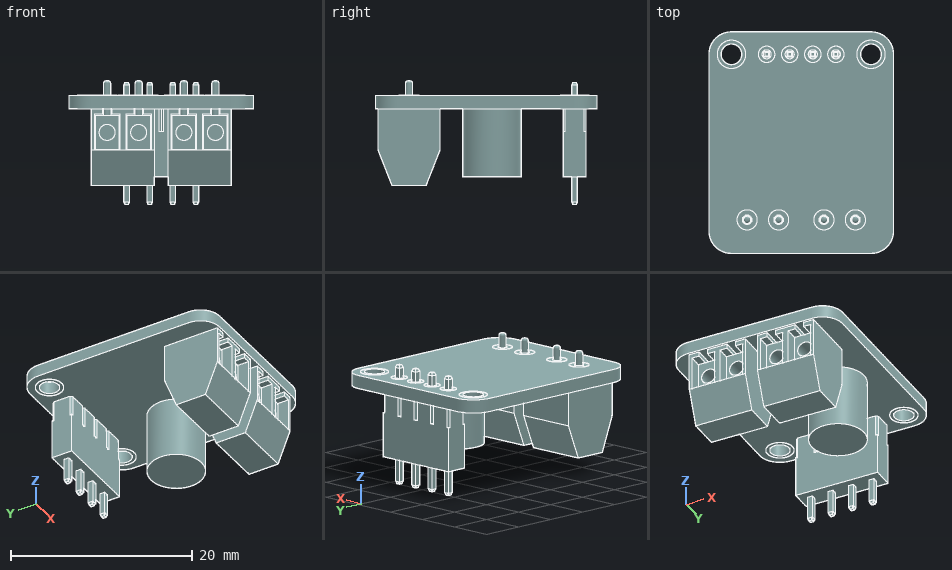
import cadquery as cq
import math


BOARD_WIDTH = 20.4
BOARD_LENGTH = 24.5
BOARD_THICKNESS = 1.5
CORNER_RADIUS = 2.5
EDGE_MARGIN = 2.5
MOUNT_HOLE_DIAMETER = 2.25
MOUNT_PAD_DIAMETER = 3.14
PIN_HOLE_DIAMETER = 1.0
HEADER_PAD_DIAMETER = 1.81
TERMINAL_PAD_DIAMETER = 2.23
PAD_THICKNESS = 0.035

PIN_COUNT = 4
PIN_PITCH = 2.55
HEADER_DEPTH = 2.55
HEADER_HEIGHT = 7.5
GROOVED_HEIGHT = 2.5
SECTION_CHAMFER = 0.25
HEADER_PIN_SIDE = 0.64
HEADER_PIN_TOP = BOARD_THICKNESS + 1.45
HEADER_PIN_BOTTOM = -10.55
PIN_TIP_HEIGHT = 0.3
PIN_TIP_INSET = 0.12

CYLINDER_DIAMETER = 6.5
CYLINDER_HEIGHT = 7.5
CYLINDER_Y = 0.64

TERMINAL_WIDTH = 6.98
TERMINAL_DEPTH = 6.85
TERMINAL_BOTTOM_DEPTH = 3.77
TERMINAL_HEIGHT = 8.48
TERMINAL_STRAIGHT_HEIGHT = 4.55
TERMINAL_GAP = 1.5
TERMINAL_Y = -8.53
CONTACT_PITCH = 3.48
CONTACT_WIDTH = 2.57
CONTACT_TOP = -0.7
CONTACT_BOTTOM = -4.48
CONTACT_SETBACK = 1.27
CAVITY_WIDTH = 2.8
CAVITY_TOP = -0.55
SLOT_WIDTH = 1.05
WIRE_HOLE_DIAMETER = 1.76
ROUND_PIN_DIAMETER = 0.8
ROUND_PIN_TOP = BOARD_THICKNESS + 1.62
ROUND_PIN_FILLET = 0.3

BACK_ROW_Y = BOARD_LENGTH / 2 - EDGE_MARGIN
MOUNT_HOLE_X = BOARD_WIDTH / 2 - EDGE_MARGIN
TERMINAL_X = (TERMINAL_GAP + TERMINAL_WIDTH) / 2
TERMINAL_CENTRES = [-TERMINAL_X, TERMINAL_X]
CONTACT_OFFSETS = [-CONTACT_PITCH / 2, CONTACT_PITCH / 2]
TERMINAL_FRONT_Y = TERMINAL_Y - TERMINAL_DEPTH / 2
CAVITY_BACK_Y = TERMINAL_Y + SLOT_WIDTH / 2

MOUNT_POINTS = [(-MOUNT_HOLE_X, BACK_ROW_Y), (MOUNT_HOLE_X, BACK_ROW_Y)]
HEADER_PIN_XS = [(i - (PIN_COUNT - 1) / 2) * PIN_PITCH for i in range(PIN_COUNT)]
HEADER_POINTS = [(x, BACK_ROW_Y) for x in HEADER_PIN_XS]
TERMINAL_POINTS = [(x + dx, TERMINAL_Y) for x in TERMINAL_CENTRES for dx in CONTACT_OFFSETS]


def block(x_centre, width, y_front, y_back, z_bottom, z_top):
    """A box centred on x_centre that spans the given Y and Z ranges."""
    return (
        cq.Workplane("XY")
        .box(width, y_back - y_front, z_top - z_bottom, centered=(True, False, False))
        .translate((x_centre, y_front, z_bottom))
    )


def discs(points, diameter, z_bottom, height):
    """Upright cylinders of one size at the given points."""
    return (
        cq.Workplane("XY").workplane(offset=z_bottom)
        .pushPoints(points).circle(diameter / 2).extrude(height)
    )


def make_board():
    """Rounded plate with thin raised pads, mounting holes and pin holes."""
    board = (
        cq.Workplane("XY")
        .rect(BOARD_WIDTH, BOARD_LENGTH).extrude(BOARD_THICKNESS)
        .edges("|Z").fillet(CORNER_RADIUS)
    )
    top_pads = [
        (MOUNT_POINTS, MOUNT_PAD_DIAMETER),
        (HEADER_POINTS, HEADER_PAD_DIAMETER),
        (TERMINAL_POINTS, TERMINAL_PAD_DIAMETER),
    ]
    for points, diameter in top_pads:
        board = board.union(discs(points, diameter, BOARD_THICKNESS, PAD_THICKNESS))
    board = board.union(discs(MOUNT_POINTS, MOUNT_PAD_DIAMETER, -PAD_THICKNESS, PAD_THICKNESS))

    drill_height = BOARD_THICKNESS + 2 * PAD_THICKNESS
    board = board.cut(discs(MOUNT_POINTS, MOUNT_HOLE_DIAMETER, -PAD_THICKNESS, drill_height))
    pin_points = HEADER_POINTS + TERMINAL_POINTS
    return board.cut(discs(pin_points, PIN_HOLE_DIAMETER, -PAD_THICKNESS, drill_height))


def make_header_pin(x):
    """Square pin that tapers at both ends."""
    tip_side = HEADER_PIN_SIDE - 2 * PIN_TIP_INSET
    taper = math.degrees(math.atan(PIN_TIP_INSET / PIN_TIP_HEIGHT))
    shank_top = HEADER_PIN_TOP - PIN_TIP_HEIGHT
    shank_bottom = HEADER_PIN_BOTTOM + PIN_TIP_HEIGHT
    shank = (
        cq.Workplane("XY").workplane(offset=shank_bottom)
        .rect(HEADER_PIN_SIDE, HEADER_PIN_SIDE).extrude(shank_top - shank_bottom)
    )
    top_tip = (
        cq.Workplane("XY").workplane(offset=shank_top)
        .rect(HEADER_PIN_SIDE, HEADER_PIN_SIDE).extrude(PIN_TIP_HEIGHT, taper=taper)
    )
    bottom_tip = (
        cq.Workplane("XY").workplane(offset=HEADER_PIN_BOTTOM)
        .rect(tip_side, tip_side).extrude(PIN_TIP_HEIGHT, taper=-taper)
    )
    return shank.union(top_tip).union(bottom_tip).translate((x, BACK_ROW_Y, 0))


def make_header():
    """Header strip with V grooves between the pins in its upper part."""
    header = block(
        0, PIN_COUNT * PIN_PITCH,
        BACK_ROW_Y - HEADER_DEPTH / 2, BACK_ROW_Y + HEADER_DEPTH / 2,
        -HEADER_HEIGHT, -GROOVED_HEIGHT,
    )
    for x in HEADER_PIN_XS:
        section = (
            cq.Workplane("XY").workplane(offset=-GROOVED_HEIGHT)
            .center(x, BACK_ROW_Y)
            .rect(PIN_PITCH, HEADER_DEPTH).extrude(GROOVED_HEIGHT)
            .edges("|Z").chamfer(SECTION_CHAMFER)
        )
        header = header.union(section)
    for x in HEADER_PIN_XS:
        header = header.union(make_header_pin(x))
    return header


def make_cylinder():
    """Upright cylinder under the board, behind the +X terminal."""
    return discs([(TERMINAL_X, CYLINDER_Y)], CYLINDER_DIAMETER, -CYLINDER_HEIGHT, CYLINDER_HEIGHT)


def make_round_pin(x):
    """Round pin with a domed tip that rises from the clamp through the board."""
    return (
        discs([(x, TERMINAL_Y)], ROUND_PIN_DIAMETER, CONTACT_TOP, ROUND_PIN_TOP - CONTACT_TOP)
        .faces(">Z").edges().fillet(ROUND_PIN_FILLET)
    )


def make_terminal_housing(x):
    """Housing block with faces that slope in toward its bottom."""
    half_depth = TERMINAL_DEPTH / 2
    half_bottom = TERMINAL_BOTTOM_DEPTH / 2
    outline = [
        (-half_depth, 0),
        (-half_depth, -TERMINAL_STRAIGHT_HEIGHT),
        (-half_bottom, -TERMINAL_HEIGHT),
        (half_bottom, -TERMINAL_HEIGHT),
        (half_depth, -TERMINAL_STRAIGHT_HEIGHT),
        (half_depth, 0),
    ]
    return (
        cq.Workplane("YZ").polyline(outline).close()
        .extrude(TERMINAL_WIDTH / 2, both=True)
        .translate((x, TERMINAL_Y, 0))
    )


def make_clamp(x):
    """Wire clamp inside a cavity, with its wire hole."""
    clamp_front_y = TERMINAL_FRONT_Y + CONTACT_SETBACK
    clamp = block(x, CONTACT_WIDTH, clamp_front_y, CAVITY_BACK_Y, CONTACT_BOTTOM, CONTACT_TOP)
    wire_hole = (
        cq.Workplane("XZ", origin=(x, CAVITY_BACK_Y, (CONTACT_TOP + CONTACT_BOTTOM) / 2))
        .circle(WIRE_HOLE_DIAMETER / 2).extrude(CAVITY_BACK_Y - clamp_front_y)
    )
    return clamp.cut(wire_hole)


def make_terminal(x):
    """Two-way screw terminal with its clamps and pins."""
    terminal = make_terminal_housing(x)
    for offset in CONTACT_OFFSETS:
        contact_x = x + offset
        cavity = block(
            contact_x, CAVITY_WIDTH, TERMINAL_FRONT_Y, CAVITY_BACK_Y,
            -TERMINAL_STRAIGHT_HEIGHT, CAVITY_TOP,
        )
        slot = block(contact_x, SLOT_WIDTH, TERMINAL_FRONT_Y, CAVITY_BACK_Y, CAVITY_TOP, 0)
        terminal = terminal.cut(cavity).cut(slot)
        terminal = terminal.union(make_clamp(contact_x)).union(make_round_pin(contact_x))
    return terminal


board = make_board()
header = make_header()
cylinder = make_cylinder()
terminals = [make_terminal(x) for x in TERMINAL_CENTRES]

result = cq.Compound.makeCompound([
    board.val(),
    header.val(),
    cylinder.val(),
    *[terminal.val() for terminal in terminals],
])